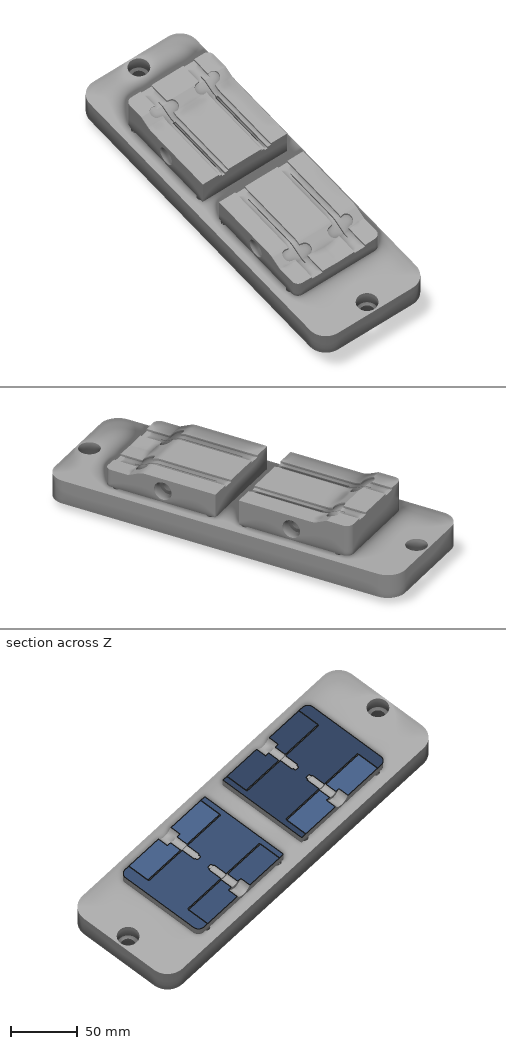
import cadquery as cq
import math

BASE_LENGTH = 300.0
BASE_WIDTH = 100.0
BASE_THICKNESS = 20.0
BASE_CORNER_RADIUS = 15.0
FOOT_LENGTH = 230.0
FOOT_WIDTH = 70.0
FOOT_THICKNESS = 5.44
FOOT_CHAMFER = 10.0
MOUNT_X = 140.0
MOUNT_HOLE_DIAMETER = 11.0
MOUNT_BORE_DIAMETER = 17.0
MOUNT_BORE_DEPTH = 11.0
BASE_BOTTOM = FOOT_THICKNESS
BASE_TOP = BASE_BOTTOM + BASE_THICKNESS

BLOCK_NEAR = 10.0
BLOCK_FAR = 105.0
BLOCK_WIDTH = 79.2
BLOCK_CORNER_RADIUS = 5.5
TOP_LIMIT = 100.0
LEFT = -1
RIGHT = 1

SEAT_NEAR = 15.0
SEAT_FAR = 95.0
SEAT_DEPTH = 5.0
SEAT_FLOOR = BASE_TOP - SEAT_DEPTH
RELIEF_RADIUS = 3.0
RELIEF_INSET = 1.5

SLOPE_ANGLE = 25.0
SLOPE_FALL = math.tan(math.radians(SLOPE_ANGLE))
UP_SLOPE = (-math.cos(math.radians(SLOPE_ANGLE)), math.sin(math.radians(SLOPE_ANGLE)))
DOWN_SLOPE = (-UP_SLOPE[0], -UP_SLOPE[1])
SLOPE_RADIUS = 12.0
LEFT_HIGH = BASE_TOP + 26.0
LEFT_LOW = BASE_TOP + 21.0
LEFT_KNEE_X = -74.6
RIGHT_HIGH = BASE_TOP + 20.0
RIGHT_KNEE_X = 73.2
VALLEY_ANGLE = 2.0
VALLEY_EDGE = BASE_TOP + 14.7

BAR_TOP_NEAR = 20.0
BAR_TOP_FAR = 90.0
BAR_RECESS_Y = 19.5
BAR_GAP = 0.75
BAR_INNER_Y = BAR_RECESS_Y + BAR_GAP
NEAR_SHOULDER = BASE_TOP + 14.7
FAR_SHOULDER = {LEFT: BASE_TOP + 16.5, RIGHT: BASE_TOP + 7.4}

SCREW_X = (SEAT_NEAR + SEAT_FAR) / 2
SCREW_Z = BASE_TOP + 9.5
SCREW_BORE_DIAMETER = 15.0
SCREW_BORE_DEPTH = 9.0
SCREW_HOLE_DIAMETER = 9.0
THREAD_DIAMETER = 8.0
THREAD_DEPTH = 12.0
DRILL_DIAMETER = 6.8
DRILL_DEPTH = 14.0
DRILL_POINT_ANGLE = 118.0

GROOVE_Y = 20.0
GROOVE_DEPTH = 1.75
OUTER_GROOVE_WIDTH = 10.0
INNER_GROOVE_WIDTH = 9.0
SLOT_DIAMETER = 9.0
SLOT_BAR_Y = 27.6
SLOT_CORE_Y = 13.1
SLOT_BAR_X = {LEFT: -83.6, RIGHT: 79.5}
SLOT_SHIFT = 2.4
CHANNEL_START_X = -71.0
CHANNEL_WIDTH = 2.7
CHANNEL_DEPTH = 2.0


def box_between(x_range, y_range, z_range):
    """Box spanning the given ranges, each in any order."""
    spans = [sorted(r) for r in (x_range, y_range, z_range)]
    sizes = [high - low for low, high in spans]
    corner = [low for low, high in spans]
    return cq.Workplane("XY").box(*sizes, centered=False).translate(tuple(corner))


def extrude_along_y(profile):
    """Extrude an XZ outline over the full width of the base."""
    return profile.extrude(BASE_WIDTH / 2, both=True)


def extrude_side(profile, inner_y, outer_y):
    """Extrude an XZ outline, drawn at y = 0, between two distances on the +Y side."""
    return profile.extrude(-(outer_y - inner_y)).translate((0, inner_y, 0))


def both_sides(solid):
    """The two mirror images of a cutting solid about the XZ plane."""
    return cq.Workplane("XY").add(solid).add(solid.mirror("XZ"))


def slope_curve(knee_x, knee_z, along_first, along_second):
    """Start, middle and end of the arc that rounds a knee between the slope and a level face."""
    half_turn = math.radians(SLOPE_ANGLE) / 2
    reach = SLOPE_RADIUS * math.tan(half_turn)
    start = (knee_x + reach * along_first[0], knee_z + reach * along_first[1])
    end = (knee_x + reach * along_second[0], knee_z + reach * along_second[1])
    bisector = (along_first[0] + along_second[0], along_first[1] + along_second[1])
    length = math.hypot(*bisector)
    sag = SLOPE_RADIUS * (1 / math.cos(half_turn) - 1)
    middle = (knee_x + sag * bisector[0] / length, knee_z + sag * bisector[1] / length)
    return start, middle, end


def left_space_under_top():
    """Everything below the left block's top: high face, slope, rounded foot, low face."""
    start, middle, end = slope_curve(LEFT_KNEE_X, LEFT_LOW, UP_SLOPE, (1, 0))
    crest_x = LEFT_KNEE_X - (LEFT_HIGH - LEFT_LOW) / SLOPE_FALL
    profile = (
        cq.Workplane("XZ")
        .moveTo(-BASE_LENGTH / 2, 0)
        .lineTo(-BASE_LENGTH / 2, LEFT_HIGH)
        .lineTo(crest_x, LEFT_HIGH)
        .lineTo(*start)
        .threePointArc(middle, end)
        .lineTo(0, LEFT_LOW)
        .lineTo(0, 0)
        .close()
    )
    return extrude_along_y(profile)


def right_space_under_top():
    """Everything below the right block's top: high face, rounded crest, slope, shallow valley."""
    start, middle, end = slope_curve(RIGHT_KNEE_X, RIGHT_HIGH, (-1, 0), DOWN_SLOPE)
    profile = (
        cq.Workplane("XZ")
        .moveTo(0, 0)
        .lineTo(0, RIGHT_HIGH)
        .lineTo(*start)
        .threePointArc(middle, end)
        .lineTo(RIGHT_KNEE_X + RIGHT_HIGH / SLOPE_FALL, 0)
        .close()
    )
    half_width = BASE_WIDTH / 2
    valley_rise = math.tan(math.radians(VALLEY_ANGLE))
    centre_z = VALLEY_EDGE - valley_rise * BLOCK_WIDTH / 2
    side_z = centre_z + valley_rise * half_width
    valley = (
        cq.Workplane("YZ")
        .moveTo(-half_width, 0)
        .lineTo(-half_width, side_z)
        .lineTo(0, centre_z)
        .lineTo(half_width, side_z)
        .lineTo(half_width, 0)
        .close()
        .extrude(BASE_LENGTH / 2)
    )
    return extrude_along_y(profile).union(valley)


def space_under_slope(knee_x, knee_z):
    """Everything below the plane of a slope, extended past both of its ends."""
    half_reach = BASE_LENGTH / 4
    rise = half_reach * SLOPE_FALL
    profile = (
        cq.Workplane("XZ")
        .moveTo(knee_x - half_reach, -BASE_LENGTH)
        .lineTo(knee_x - half_reach, knee_z + rise)
        .lineTo(knee_x + half_reach, knee_z - rise)
        .lineTo(knee_x + half_reach, -BASE_LENGTH)
        .close()
    )
    return extrude_along_y(profile)


def block_blank(side, under_top):
    """Whole block before it is split: a body with a rounded far end and a tongue for its pocket."""
    body = (
        box_between(
            (side * BLOCK_NEAR, side * BLOCK_FAR),
            (-BLOCK_WIDTH / 2, BLOCK_WIDTH / 2),
            (BASE_TOP, TOP_LIMIT),
        )
        .edges("|Z")
        .edges("<X" if side == LEFT else ">X")
        .fillet(BLOCK_CORNER_RADIUS)
    )
    tongue = box_between(
        (side * SEAT_NEAR, side * SEAT_FAR),
        (-BLOCK_WIDTH / 2, BLOCK_WIDTH / 2),
        (SEAT_FLOOR, BASE_TOP),
    )
    return body.union(tongue).intersect(under_top)


def groove_space(side, under_top):
    """The long grooves, which follow the top at a constant depth and are wider at the far end."""
    change_x = SLOT_BAR_X[side] + SLOT_SHIFT / 2
    outer_end = side * BASE_LENGTH / 2
    spans = [(change_x, outer_end, OUTER_GROOVE_WIDTH), (0, change_x, INNER_GROOVE_WIDTH)]
    floor = under_top.translate((0, 0, -GROOVE_DEPTH))
    grooves = cq.Workplane("XY")
    for start_x, end_x, width in spans:
        y_range = (GROOVE_Y - width / 2, GROOVE_Y + width / 2)
        strip = box_between((start_x, end_x), y_range, (BASE_TOP, TOP_LIMIT))
        grooves = grooves.add(both_sides(strip.cut(floor)))
    return grooves


def slot_space(side, knee_x, knee_z):
    """Round-ended slots across the slope, with floors in the plane of the groove floor."""
    run_y = SLOT_BAR_Y - SLOT_CORE_Y
    length = math.hypot(SLOT_SHIFT, run_y) + SLOT_DIAMETER
    angle = math.degrees(math.atan2(run_y, -SLOT_SHIFT))
    slot = (
        cq.Workplane("XY", origin=(0, 0, BASE_TOP))
        .center(SLOT_BAR_X[side] + SLOT_SHIFT / 2, (SLOT_BAR_Y + SLOT_CORE_Y) / 2)
        .slot2D(length, SLOT_DIAMETER, angle)
        .extrude(TOP_LIMIT - BASE_TOP)
    )
    return both_sides(slot.cut(space_under_slope(knee_x, knee_z - GROOVE_DEPTH)))


def bar_outline(side):
    """XZ outline of a bar: wide at the bottom, with a shoulder at each end."""
    points = [
        (SEAT_NEAR, SEAT_FLOOR),
        (SEAT_NEAR, NEAR_SHOULDER),
        (BAR_TOP_NEAR, NEAR_SHOULDER),
        (BAR_TOP_NEAR, TOP_LIMIT),
        (BAR_TOP_FAR, TOP_LIMIT),
        (BAR_TOP_FAR, FAR_SHOULDER[side]),
        (SEAT_FAR, FAR_SHOULDER[side]),
        (SEAT_FAR, SEAT_FLOOR),
    ]
    return cq.Workplane("XZ").polyline([(side * x, z) for x, z in points]).close()


def screw_cylinder(side, diameter, inner_y, outer_y):
    """Cylinder on a screw axis, on the +Y side."""
    circle = cq.Workplane("XZ").center(side * SCREW_X, SCREW_Z).circle(diameter / 2)
    return extrude_side(circle, inner_y, outer_y)


def make_core(side, blank):
    """Middle of a block: recessed for both bars and tapped for their screws."""
    recess = extrude_side(bar_outline(side), BAR_RECESS_Y, BASE_WIDTH / 2)
    core = blank.cut(both_sides(recess))
    thread = screw_cylinder(side, THREAD_DIAMETER, BAR_RECESS_Y - THREAD_DEPTH, BAR_RECESS_Y)
    drill_end = BAR_RECESS_Y - DRILL_DEPTH
    drill = screw_cylinder(side, DRILL_DIAMETER, drill_end, BAR_RECESS_Y)
    point_length = DRILL_DIAMETER / 2 / math.tan(math.radians(DRILL_POINT_ANGLE / 2))
    point = cq.Workplane(
        cq.Solid.makeCone(
            DRILL_DIAMETER / 2,
            0,
            point_length,
            pnt=cq.Vector(side * SCREW_X, drill_end, SCREW_Z),
            dir=cq.Vector(0, -1, 0),
        )
    )
    for hole in (thread, drill, point):
        core = core.cut(both_sides(hole))
    return core


def make_bars(side, blank):
    """The two side bars of a block, counterbored for their screws."""
    outer_y = BLOCK_WIDTH / 2
    region = extrude_side(bar_outline(side), BAR_INNER_Y, BASE_WIDTH / 2)
    hole = screw_cylinder(side, SCREW_HOLE_DIAMETER, BAR_INNER_Y, outer_y)
    bore = screw_cylinder(side, SCREW_BORE_DIAMETER, outer_y - SCREW_BORE_DEPTH, outer_y)
    bar = blank.intersect(region).cut(hole).cut(bore)
    return [bar, bar.mirror("XZ")]


def make_base():
    """Base plate with chamfered foot, block pockets and mounting holes."""
    plate = (
        cq.Workplane("XY", origin=(0, 0, BASE_BOTTOM))
        .rect(BASE_LENGTH, BASE_WIDTH)
        .extrude(BASE_THICKNESS)
        .edges("|Z")
        .fillet(BASE_CORNER_RADIUS)
    )
    foot = (
        cq.Workplane("XY")
        .rect(FOOT_LENGTH, FOOT_WIDTH)
        .extrude(FOOT_THICKNESS)
        .edges("|Z")
        .chamfer(FOOT_CHAMFER)
    )
    base = plate.union(foot)
    half_width = BLOCK_WIDTH / 2
    for side in (LEFT, RIGHT):
        pocket = box_between(
            (side * SEAT_NEAR, side * SEAT_FAR), (-half_width, half_width), (SEAT_FLOOR, BASE_TOP)
        )
        relief_y = half_width - RELIEF_INSET
        reliefs = (
            cq.Workplane("XY", origin=(0, 0, SEAT_FLOOR))
            .pushPoints([(side * x, y) for x in (SEAT_NEAR, SEAT_FAR) for y in (-relief_y, relief_y)])
            .circle(RELIEF_RADIUS)
            .extrude(SEAT_DEPTH)
        )
        base = base.cut(pocket).cut(reliefs)
    return (
        base.faces(">Z")
        .workplane(origin=(0, 0, BASE_TOP))
        .pushPoints([(-MOUNT_X, 0), (MOUNT_X, 0)])
        .cboreHole(MOUNT_HOLE_DIAMETER, MOUNT_BORE_DIAMETER, MOUNT_BORE_DEPTH)
    )


def make_left_blank():
    """Left block with its grooves, slots and the narrow channels over the bar joints."""
    under_top = left_space_under_top()
    blank = block_blank(LEFT, under_top)
    blank = blank.cut(groove_space(LEFT, under_top))
    blank = blank.cut(slot_space(LEFT, LEFT_KNEE_X, LEFT_LOW))
    groove_floor = LEFT_LOW - GROOVE_DEPTH
    channel = box_between(
        (CHANNEL_START_X, 0),
        (GROOVE_Y - CHANNEL_WIDTH / 2, GROOVE_Y + CHANNEL_WIDTH / 2),
        (groove_floor - CHANNEL_DEPTH, TOP_LIMIT),
    )
    return blank.cut(both_sides(channel))


def make_right_blank():
    """Right block with its grooves and slots."""
    under_top = right_space_under_top()
    blank = block_blank(RIGHT, under_top)
    blank = blank.cut(groove_space(RIGHT, under_top))
    return blank.cut(slot_space(RIGHT, RIGHT_KNEE_X, RIGHT_HIGH))


left_blank = make_left_blank()
right_blank = make_right_blank()
base = make_base()
left_core = make_core(LEFT, left_blank)
right_core = make_core(RIGHT, right_blank)
bars = make_bars(LEFT, left_blank) + make_bars(RIGHT, right_blank)

bodies = [base, left_core, right_core, *bars]
result = cq.Compound.makeCompound([body.val() for body in bodies])